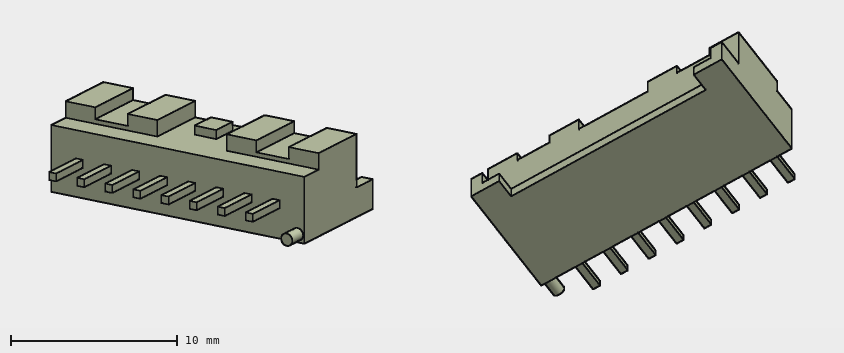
import cadquery as cq


width = 18.0
depth = 7.69
deck_height = 4.25
total_height = 5.3

rear_depth = 1.84
rear_wall = depth - rear_depth
side_wall_height = 1.89
side_wall_thickness = 0.81
floor_thickness = side_wall_thickness
notch_depth = 1.31
notch_side_margin = 2.02

key_front = 1.6
key_width = 6.53
key_groove_width = 2.3
key_groove_height = 4.54

latch_width = 1.55
latch_depth = 1.84
latch_front = 3.1
latch_height = 4.82

pin_count = 8
pin_pitch = 2.0
pin_size = 0.5
pin_length = 3.0
pin_axis_height = 2.2

peg_diameter = 0.8
peg_length = 1.2
peg_offset = 8.51
peg_axis_height = 0.52


def block(x_center, x_size, y_start, y_end, z_start, z_end):
    """Box centred on x_center in X and spanning the given limits in Y and Z."""
    return (
        cq.Workplane("XY")
        .box(x_size, y_end - y_start, z_end - z_start, centered=(True, False, False))
        .translate((x_center, y_start, z_start))
    )


def make_housing():
    """Main body with its rear floor plate and side walls."""
    body = block(0, width, 0, rear_wall, 0, deck_height)
    rear = block(0, width, rear_wall, depth, 0, side_wall_height)
    clearance_width = width - 2 * side_wall_thickness
    clearance = block(0, clearance_width, rear_wall, depth, floor_thickness, side_wall_height)
    notch_width = width - 2 * notch_side_margin
    notch = block(0, notch_width, depth - notch_depth, depth, 0, floor_thickness)
    return body.union(rear.cut(clearance).cut(notch))


def make_key(side):
    """Raised key with a shallower groove along its middle; side is -1 or +1."""
    x_center = side * (width - key_width) / 2
    key = block(x_center, key_width, key_front, rear_wall, deck_height, total_height)
    groove = block(x_center, key_groove_width, key_front, rear_wall, key_groove_height, total_height)
    return key.cut(groove)


def make_latch():
    """Rectangular boss centred across the deck."""
    return block(0, latch_width, latch_front, latch_front + latch_depth, deck_height, latch_height)


def make_pin(index):
    """Square pin standing out of the front face."""
    x_center = (index - (pin_count - 1) / 2) * pin_pitch
    z_start = pin_axis_height - pin_size / 2
    return block(x_center, pin_size, -pin_length, 0, z_start, z_start + pin_size)


def make_peg():
    """Cylinder standing out of the front face near its lower +X corner."""
    return (
        cq.Workplane("XZ")
        .center(peg_offset, peg_axis_height)
        .circle(peg_diameter / 2)
        .extrude(peg_length)
    )


result = make_housing()
for side in (-1, 1):
    result = result.union(make_key(side))
result = result.union(make_latch())
for index in range(pin_count):
    result = result.union(make_pin(index))
result = result.union(make_peg())